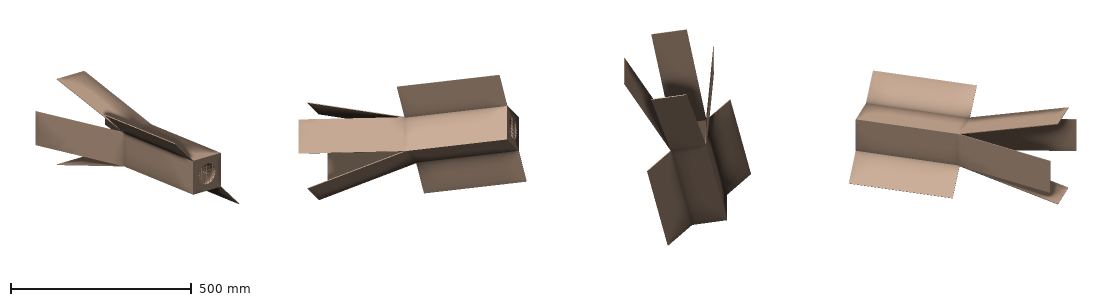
import cadquery as cq
import math

total_length = 585.0
body_width = 100.0

petal_width = body_width
petal_thickness = 2.05
petal_angle = math.radians(15)
petal_reach = 295.0
petal_overlap = 5.0

tip_setback = petal_thickness / 2 * math.sin(petal_angle)
body_front = petal_reach * math.cos(petal_angle) + tip_setback
body_length = total_length - body_front

panel_width = body_width
panel_thickness = petal_thickness
panel_overlap = 5.0

bore_diameter = 60.0
ball_diameter = 30.0
ball_depth = 15.0
ball_x = body_front + ball_depth

wire_thickness = 1.0
wire_pitch = bore_diameter / 6
wires_each_side = 2
wire_half_length = bore_diameter / 2 + wire_thickness
stem_diameter = 3.0


def x_box(x_start, length, y_size, z_size, y=0, z=0):
    """Box starting at x_start and centred on (y, z)."""
    block = cq.Workplane("XY").box(length, y_size, z_size, centered=(False, True, True))
    return block.translate((x_start, y, z))


def turn_about_x(shape, degrees):
    return shape.rotate((0, 0, 0), (1, 0, 0), degrees)


def make_body():
    bore = cq.Workplane("YZ").circle(bore_diameter / 2).extrude(total_length)
    return x_box(body_front, body_length, body_width, body_width).cut(bore)


def make_petal():
    """Upper petal: its middle plane passes through the top front edge of the body."""
    flat = x_box(-petal_reach, petal_reach + petal_overlap, petal_width, petal_thickness)
    splayed = flat.rotate((0, 0, 0), (0, 1, 0), math.degrees(petal_angle))
    return splayed.translate((body_front, 0, body_width / 2))


def make_panel():
    """Panel standing on the body edge between the -Y and +Z sides."""
    edge_radius = body_width / 2 * math.sqrt(2)
    centre_radius = edge_radius - panel_overlap + panel_width / 2
    upright = x_box(body_front, body_length, panel_thickness, panel_width, z=centre_radius)
    return turn_about_x(upright, 45)


def make_mesh():
    mesh_x = total_length - wire_thickness
    mesh = cq.Workplane("XY")
    for index in range(-wires_each_side, wires_each_side + 1):
        offset = index * wire_pitch
        half_chord = math.sqrt(wire_half_length**2 - offset**2)
        wire = x_box(mesh_x, wire_thickness, wire_thickness, 2 * half_chord, y=offset)
        mesh = mesh.union(wire).union(turn_about_x(wire, 90))
    return mesh


def make_ball_on_stem():
    ball = cq.Workplane("XY").sphere(ball_diameter / 2).translate((ball_x, 0, 0))
    stem = cq.Workplane("YZ").circle(stem_diameter / 2).extrude(total_length - ball_x)
    return ball.union(stem.translate((ball_x, 0, 0)))


result = make_body()
for quarter in range(4):
    result = result.union(turn_about_x(make_petal(), 90 * quarter))
for half_turn in range(2):
    result = result.union(turn_about_x(make_panel(), 180 * half_turn))
result = result.union(make_mesh()).union(make_ball_on_stem())